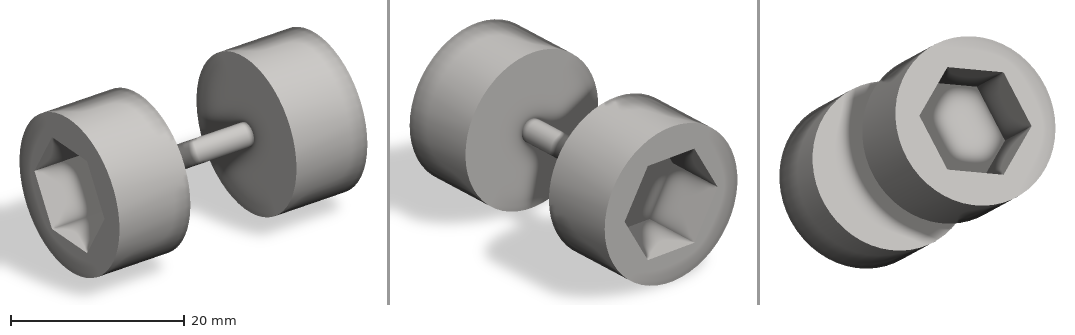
import cadquery as cq

total_length = 35.0
head_diameter = 20.0
head_length = 10.0
rod_diameter = 3.0

socket_across_corners = 14.0
socket_depth = 8.0

half_length = total_length / 2
rod_length = total_length - 2 * head_length


def plane_at(y):
    """Plane facing +Y at the given Y position, with local x along X."""
    return cq.Plane(origin=(0, y, 0), xDir=(1, 0, 0), normal=(0, 1, 0))


def socket_head():
    """Head at the -Y end, with its hexagonal socket opening toward -Y."""
    end_plane = plane_at(-half_length)
    body = cq.Workplane(end_plane).circle(head_diameter / 2).extrude(head_length)
    socket = cq.Workplane(end_plane).polygon(6, socket_across_corners).extrude(socket_depth)
    return body.cut(socket)


def rod():
    """Rod spanning the gap between the heads."""
    return cq.Workplane(plane_at(-rod_length / 2)).circle(rod_diameter / 2).extrude(rod_length)


near_head = socket_head()
far_head = near_head.mirror("XZ")
result = near_head.union(rod()).union(far_head)